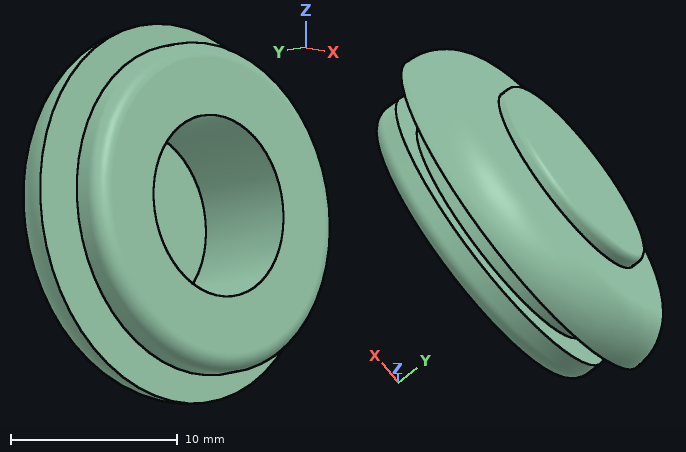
import cadquery as cq

flange_diameter = 23.0
lip_diameter = 20.0
groove_diameter = 16.0
boss_diameter = 13.0
bore_diameter = 11.0

lip_thickness = 2.0
groove_width = 1.6
flange_thickness = 3.5
boss_height = 1.0
floor_thickness = 1.5

lip_fillet = 1.0
boss_fillet = 0.5

total_length = lip_thickness + groove_width + flange_thickness + boss_height
front_y = -total_length / 2
groove_y = front_y + lip_thickness
flange_y = groove_y + groove_width
boss_y = flange_y + flange_thickness
bore_depth = total_length - floor_thickness


def disc(diameter, start_y, length):
    """Cylinder along +Y starting at start_y."""
    return cq.Workplane("XZ", origin=(0, start_y, 0)).circle(diameter / 2).extrude(-length)


def rounded_flange():
    """Flange whose rear rim is a quarter round over its full thickness."""
    radius = flange_diameter / 2
    flat_radius = radius - flange_thickness
    arc_reach = flange_thickness * 0.5 ** 0.5
    arc_middle = (flat_radius + arc_reach, flange_y + arc_reach)
    return (
        cq.Workplane("XY")
        .moveTo(0, flange_y)
        .lineTo(radius, flange_y)
        .threePointArc(arc_middle, (flat_radius, boss_y))
        .lineTo(0, boss_y)
        .close()
        .revolve(360, (0, 0, 0), (0, 1, 0))
    )


lip = disc(lip_diameter, front_y, lip_thickness).faces("<Y").edges().fillet(lip_fillet)
groove_core = disc(groove_diameter, groove_y, groove_width)
boss = disc(boss_diameter, boss_y, boss_height).faces(">Y").edges().fillet(boss_fillet)
bore = disc(bore_diameter, front_y, bore_depth)

result = lip.union(groove_core).union(rounded_flange()).union(boss).cut(bore)